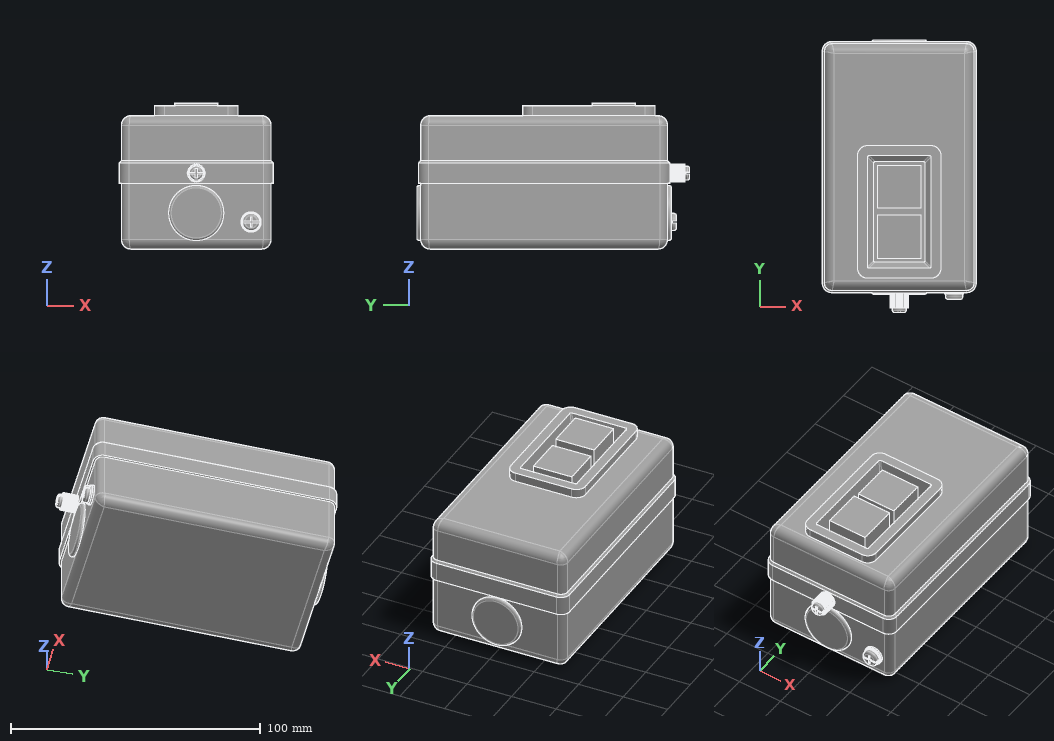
import cadquery as cq
import math


BOX_WIDTH = 60.1
BOX_LENGTH = 99.0
BOX_HEIGHT = 53.6
SPLIT_Z = 26.4
EDGE_RADIUS = 3.9
CORNER_RADIUS = 3.1
FRONT_Y = -BOX_LENGTH / 2

RIM_OVERHANG = 0.9
RIM_HEIGHT = 9.2
RIM_CHAMFER_HEIGHT = 1.0
RIM_FRONT_Y = FRONT_Y - RIM_OVERHANG

FRAME_Y = -17.9
FRAME_WIDTH = 33.5
FRAME_LENGTH = 53.2
FRAME_HEIGHT = 3.9
FRAME_CORNER_RADIUS = 4.0
FRAME_TOP_Z = BOX_HEIGHT + FRAME_HEIGHT

WELL_WIDTH = 25.4
WELL_LENGTH = 45.1
WELL_INSET = 2.4
WELL_DEPTH = 9.8
WELL_CORNER_RADIUS = 0.5
WELL_FLOOR_Z = FRAME_TOP_Z - WELL_DEPTH

BUTTON_SIDE = 17.3
ON_LENGTH = 16.8
BUTTON_GAP = 3.0
OFF_Y = -27.9
OFF_TOP_Z = 58.5
ON_TOP_Z = 57.3
ON_Y = OFF_Y + BUTTON_SIDE / 2 + BUTTON_GAP + ON_LENGTH / 2

KNOCKOUT_Z = 14.5
KNOCKOUT_RADIUS = 11.0
KNOCKOUT_HEIGHT = 1.5
KNOCKOUT_ROUND = 1.0

HEAD_ROUND = 1.0
SLOT_WIDTH = 0.7
SLOT_DEPTH = 1.5

LID_SCREW_Z = 30.5
KNURL_RADIUS = 3.6
KNURL_LENGTH = 6.0
KNURL_DEPTH = 0.3
TOOTH_COUNT = 36
LID_HEAD_RADIUS = 2.8
LID_HEAD_HEIGHT = 2.0
LID_CROSS_LENGTH = 3.7
LID_CROSS_WIDTH = 0.9

EARTH_X = 22.0
EARTH_Z = 10.9
WASHER_RADIUS = 4.0
WASHER_THICKNESS = 0.8
SPRING_WASHER_RADIUS = 3.8
SPRING_WASHER_THICKNESS = 0.7
EARTH_HEAD_RADIUS = 3.5
EARTH_HEAD_HEIGHT = 2.1
EARTH_CROSS_LENGTH = 3.9
EARTH_CROSS_WIDTH = 0.7


def front_plane(x, y, z):
    """Plane facing -Y, with its own X along +X."""
    return cq.Plane(origin=(x, y, z), xDir=(1, 0, 0), normal=(0, -1, 0))


def block(width, length, y, z_bottom, z_top):
    """Upright block centred on X = 0 and the given Y."""
    return (
        cq.Workplane("XY", origin=(0, y, z_bottom))
        .rect(width, length)
        .extrude(z_top - z_bottom)
    )


def rounded_half(z_bottom, z_top, outer_face):
    """Half of the box; the edges of its outer face and its corners are rounded."""
    return (
        block(BOX_WIDTH, BOX_LENGTH, 0, z_bottom, z_top)
        .faces(outer_face).edges().fillet(EDGE_RADIUS)
        .edges("(not #Z) and (not (|X or |Y))").fillet(CORNER_RADIUS)
    )


def rim():
    """Raised band around the lid, chamfered at its top."""
    width = BOX_WIDTH + 2 * RIM_OVERHANG
    length = BOX_LENGTH + 2 * RIM_OVERHANG
    return (
        block(width, length, 0, SPLIT_Z, SPLIT_Z + RIM_HEIGHT)
        .edges("|Z").fillet(CORNER_RADIUS + RIM_OVERHANG)
        .faces(">Z").chamfer(RIM_CHAMFER_HEIGHT, RIM_OVERHANG)
    )


def frame():
    """Raised plate with rounded corners around the buttons."""
    return (
        block(FRAME_WIDTH, FRAME_LENGTH, FRAME_Y, BOX_HEIGHT, FRAME_TOP_Z)
        .edges("|Z").fillet(FRAME_CORNER_RADIUS)
    )


def well():
    """Tapered opening that the buttons stand in."""
    return (
        cq.Workplane("XY", origin=(0, FRAME_Y, FRAME_TOP_Z))
        .rect(WELL_WIDTH, WELL_LENGTH)
        .workplane(offset=-WELL_DEPTH)
        .rect(WELL_WIDTH - 2 * WELL_INSET, WELL_LENGTH - 2 * WELL_INSET)
        .loft(ruled=True)
        .edges("not #Z").edges("not (|X or |Y)").fillet(WELL_CORNER_RADIUS)
    )


def screw_head(plane, radius, height, cross_length, cross_width):
    """Round head with one slot right across and a short one crossing it."""
    head = cq.Workplane(plane).circle(radius).extrude(height).faces("<Y").edges().fillet(HEAD_ROUND)
    slots = (
        cq.Workplane(plane).workplane(offset=height - SLOT_DEPTH)
        .rect(2 * radius, SLOT_WIDTH).extrude(SLOT_DEPTH)
        .union(
            cq.Workplane(plane).workplane(offset=height - SLOT_DEPTH)
            .rect(cross_width, cross_length).extrude(SLOT_DEPTH)
        )
    )
    return head.cut(slots)


def knurled_collar():
    """Collar with pointed teeth along its length."""
    outline = []
    for corner in range(2 * TOOTH_COUNT):
        radius = KNURL_RADIUS - KNURL_DEPTH * (corner % 2)
        angle = math.pi * corner / TOOTH_COUNT
        outline.append((radius * math.cos(angle), radius * math.sin(angle)))
    return (
        cq.Workplane(front_plane(0, FRONT_Y, LID_SCREW_Z))
        .polyline(outline).close()
        .extrude(RIM_OVERHANG + KNURL_LENGTH)
    )


def lid_screw():
    """Knurled collar with a slotted head at its end."""
    head_plane = front_plane(0, RIM_FRONT_Y - KNURL_LENGTH, LID_SCREW_Z)
    head = screw_head(head_plane, LID_HEAD_RADIUS, LID_HEAD_HEIGHT, LID_CROSS_LENGTH, LID_CROSS_WIDTH)
    return knurled_collar().union(head)


def earth_screw():
    """Two stacked washers and a slotted head."""
    washer = (
        cq.Workplane(front_plane(EARTH_X, FRONT_Y, EARTH_Z))
        .circle(WASHER_RADIUS).extrude(WASHER_THICKNESS)
    )
    spring_washer_y = FRONT_Y - WASHER_THICKNESS
    spring_washer = (
        cq.Workplane(front_plane(EARTH_X, spring_washer_y, EARTH_Z))
        .circle(SPRING_WASHER_RADIUS).extrude(SPRING_WASHER_THICKNESS)
    )
    head_plane = front_plane(EARTH_X, spring_washer_y - SPRING_WASHER_THICKNESS, EARTH_Z)
    head = screw_head(
        head_plane, EARTH_HEAD_RADIUS, EARTH_HEAD_HEIGHT, EARTH_CROSS_LENGTH, EARTH_CROSS_WIDTH
    )
    return washer.union(spring_washer).union(head)


def knockouts():
    """One disc through the whole base, standing out with a rounded edge at both ends."""
    half_length = BOX_LENGTH / 2 + KNOCKOUT_HEIGHT
    return (
        cq.Workplane(front_plane(0, half_length, KNOCKOUT_Z))
        .circle(KNOCKOUT_RADIUS).extrude(2 * half_length)
        .faces("<Y or >Y").edges().fillet(KNOCKOUT_ROUND)
    )


def build_base():
    """Lower body, with the knockouts and the earth screw."""
    return rounded_half(0, SPLIT_Z, "<Z").union(knockouts()).union(earth_screw())


def build_lid():
    """Upper body, with the rim, the button frame, the buttons and the knurled screw."""
    lid = rounded_half(SPLIT_Z, BOX_HEIGHT, ">Z").union(rim()).union(frame()).cut(well())
    on_button = block(BUTTON_SIDE, ON_LENGTH, ON_Y, WELL_FLOOR_Z, ON_TOP_Z)
    off_button = block(BUTTON_SIDE, BUTTON_SIDE, OFF_Y, WELL_FLOOR_Z, OFF_TOP_Z)
    return lid.union(on_button).union(off_button).union(lid_screw())


base = build_base()
lid = build_lid()

result = cq.Compound.makeCompound([base.val(), lid.val()])